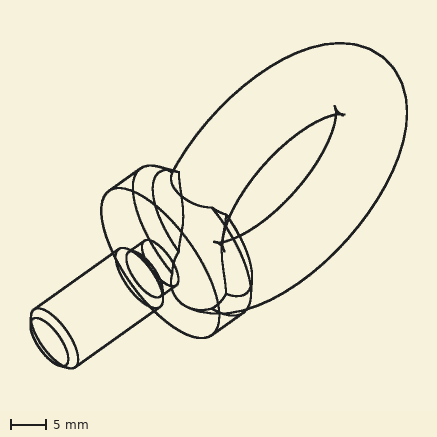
import cadquery as cq

ring_outer_diameter = 45.0
bar_diameter = 10.0
ring_outer_radius = ring_outer_diameter / 2
bar_radius = bar_diameter / 2
ring_mean_radius = ring_outer_radius - bar_radius

collar_radius = 25.0 / 2
collar_thickness = 8.0
collar_chamfer = 2.0

overall_length = 66.0
shank_length = overall_length - ring_outer_diameter
shank_radius = bar_radius
neck_radius = 7.7 / 2
neck_length = 3.0
shoulder_length = 1.0
tip_chamfer = 1.0

seat_y = -ring_outer_radius
collar_back_y = seat_y + collar_thickness
neck_end_y = seat_y - neck_length
tip_y = seat_y - shank_length


def make_ring():
    """Sweep the round bar around the X axis."""
    return (
        cq.Workplane("XY")
        .center(0, ring_mean_radius)
        .circle(bar_radius)
        .revolve(360, (0, -ring_mean_radius), (1, -ring_mean_radius))
    )


def make_collar_and_shank():
    """Revolve the stepped half profile around the Y axis."""
    profile = [
        (0, collar_back_y),
        (collar_radius - collar_chamfer, collar_back_y),
        (collar_radius, collar_back_y - collar_chamfer),
        (collar_radius, seat_y),
        (neck_radius, seat_y),
        (neck_radius, neck_end_y),
        (shank_radius, neck_end_y - shoulder_length),
        (shank_radius, tip_y + tip_chamfer),
        (shank_radius - tip_chamfer, tip_y),
        (0, tip_y),
    ]
    return cq.Workplane("XY").polyline(profile).close().revolve(360, (0, 0), (0, 1))


result = make_ring().union(make_collar_and_shank())